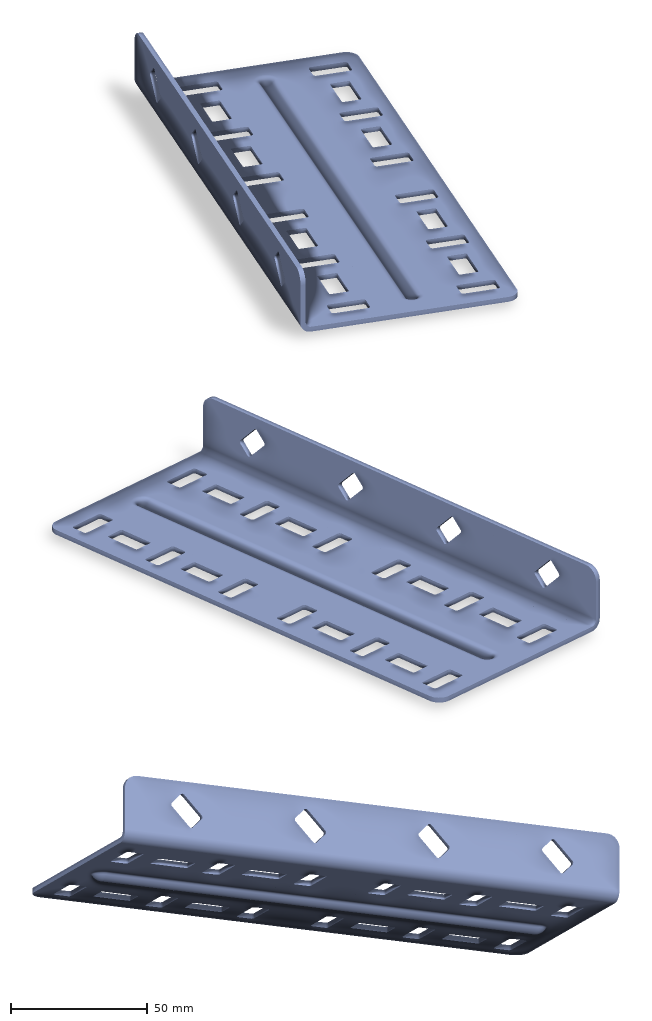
import cadquery as cq
import math

length = 200.0
depth = 85.0
flange_height = 25.0
thickness = 2.0
bend_outer_radius = 4.0
corner_radius = 5.0

slot_long = 15.0
slot_short = 7.0
lengthwise_slot_width = 7.5
slot_corner_radius = 1.0
lengthwise_corner_radius = 0.5
first_slot_offset = 15.0
last_slot_offset = 89.0
slots_per_half = 5
slot_pitch = (last_slot_offset - first_slot_offset) / (slots_per_half - 1)
row_ys = (22.0, 72.0)

flange_slot_long = 12.0
flange_slot_pitch = 50.0
flange_slot_count = 4
flange_slot_z = 14.0
flange_slot_tilt = 45.0

rib_straight_length = 175.0
rib_width = 9.0
rib_wall_angle = 58.0
rib_trough_radius = 2.5
rib_y = 46.8


def bent_sheet():
    """L-shaped sheet with a rounded bend and rounded free corners."""
    inner_radius = bend_outer_radius - thickness
    profile = (
        cq.Workplane("YZ")
        .moveTo(depth, 0)
        .lineTo(bend_outer_radius, 0)
        .radiusArc((0, bend_outer_radius), bend_outer_radius)
        .lineTo(0, flange_height)
        .lineTo(thickness, flange_height)
        .lineTo(thickness, bend_outer_radius)
        .radiusArc((bend_outer_radius, thickness), -inner_radius)
        .lineTo(depth, thickness)
        .close()
    )
    sheet = profile.extrude(length / 2, both=True)
    sheet = sheet.faces(">Y").edges("|Z").fillet(corner_radius)
    return sheet.faces(">Z").edges("|Y").fillet(corner_radius)


def slot_cutter(size_x, size_y, corner_radius):
    """Rectangular punch with rounded corners, centred on the origin, along Z."""
    punch_height = 4 * thickness
    punch = cq.Workplane("XY").box(size_x, size_y, punch_height)
    return punch.edges("|Z").fillet(corner_radius)


def cut_floor_slots(body):
    """Two rows of slots, alternately crosswise and lengthwise, mirrored about the middle."""
    for y in row_ys:
        for index in range(slots_per_half):
            x = first_slot_offset + index * slot_pitch
            if index % 2 == 0:
                cutter = slot_cutter(slot_short, slot_long, slot_corner_radius)
            else:
                cutter = slot_cutter(slot_long, lengthwise_slot_width, lengthwise_corner_radius)
            for side in (-1, 1):
                body = body.cut(cutter.translate((side * x, y, thickness / 2)))
    return body


def cut_flange_slots(body):
    """Row of tilted slots through the flange."""
    cutter = (
        slot_cutter(flange_slot_long, slot_short, slot_corner_radius)
        .rotate((0, 0, 0), (1, 0, 0), 90)
        .rotate((0, 0, 0), (0, 1, 0), flange_slot_tilt)
    )
    for index in range(flange_slot_count):
        x = (index - (flange_slot_count - 1) / 2) * flange_slot_pitch
        body = body.cut(cutter.translate((x, thickness / 2, flange_slot_z)))
    return body


def rib_solid(offset):
    """Rib-shaped solid whose surface lies below the floor's top face by the offset.

    Each flank is an S-curve: a shoulder arc leaving the floor tangentially, then a
    tangent trough arc. The section runs along X and is revolved at both ends.
    """
    angle = math.radians(rib_wall_angle)
    half_width = rib_width / 2
    radius_sum = half_width / math.sin(angle)
    drop = radius_sum * (1 - math.cos(angle))

    trough_radius = rib_trough_radius + offset
    shoulder_radius = radius_sum - trough_radius
    rim_z = thickness - offset
    top_z = rim_z + thickness
    bottom_z = rim_z - drop
    shoulder_centre_z = rim_z - shoulder_radius
    trough_centre_z = bottom_z + trough_radius

    def on_shoulder(turn):
        """Point on the shoulder arc, turned from its rim."""
        y = half_width - shoulder_radius * math.sin(turn)
        z = shoulder_centre_z + shoulder_radius * math.cos(turn)
        return y, z

    def on_trough(turn):
        """Point on the trough arc, turned from its lowest point."""
        y = trough_radius * math.sin(turn)
        z = trough_centre_z - trough_radius * math.cos(turn)
        return y, z

    bottom = (0, bottom_z)
    shoulder_middle_y, shoulder_middle_z = on_shoulder(angle / 2)
    half_section = (
        cq.Workplane("XZ")
        .moveTo(0, top_z)
        .lineTo(half_width, top_z)
        .lineTo(half_width, rim_z)
        .threePointArc(on_shoulder(angle / 2), on_shoulder(angle))
        .threePointArc(on_trough(angle / 2), bottom)
        .close()
    )
    end = half_section.revolve(360, (0, 0, 0), (0, 1, 0))

    section = (
        cq.Workplane("YZ")
        .moveTo(-half_width, top_z)
        .lineTo(half_width, top_z)
        .lineTo(half_width, rim_z)
        .threePointArc(on_shoulder(angle / 2), on_shoulder(angle))
        .threePointArc(bottom, on_trough(-angle))
        .threePointArc((-shoulder_middle_y, shoulder_middle_z), (-half_width, rim_z))
        .close()
    )
    body = section.extrude(rib_straight_length / 2, both=True)
    for side in (-1, 1):
        body = body.union(end.translate((side * rib_straight_length / 2, 0, 0)))
    return body.translate((0, rib_y, 0))


sheet = cut_flange_slots(cut_floor_slots(bent_sheet()))
result = sheet.union(rib_solid(thickness)).cut(rib_solid(0))